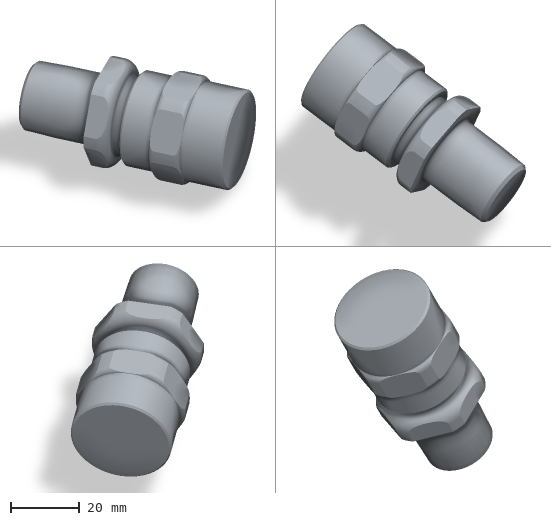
import cadquery as cq
import math


HEX_ACROSS_FLATS = 30.0
HEX_CORNER_RADIUS = 32.5 / 2

TIP_RADIUS = 20.75 / 2
TIP_CHAMFER = 1.05
TAPER_END_X = 9.8
SPIGOT_RADIUS = 21.3 / 2
SPIGOT_ROOT_FILLET = 0.6

FIXING_HEX_X = 22.5
FIXING_HEX_STRAIGHT = 3.5
FIXING_HEX_ROUNDING = 3.5
NECK_RADIUS = 23.3 / 2
NECK_FILLET = 1.0

HOUSING_X = 32.7
END_X = 64.8
COLLAR_RADIUS = 28.6 / 2
COLLAR_CHAMFER = 0.6
HOUSING_HEX_X = 42.2
HOUSING_HEX_LENGTH = 9.65
HOUSING_HEX_ROUNDING = 1.8
BARREL_RADIUS = 29.9 / 2
BARREL_CHAMFER = 0.6

FIXING_HEX_END_X = FIXING_HEX_X + FIXING_HEX_STRAIGHT + FIXING_HEX_ROUNDING
HOUSING_HEX_END_X = HOUSING_HEX_X + HOUSING_HEX_LENGTH


def turn(outline):
    """Closes an outline drawn in X and radius, and revolves it about the X axis."""
    return outline.close().revolve(360, (0, 0, 0), (1, 0, 0))


def cut_hex_flats(blank, start_x, length):
    """Trims a turned blank to the hexagon, leaving its corners turned."""
    circumscribed_diameter = HEX_ACROSS_FLATS / math.cos(math.pi / 6)
    prism = (
        cq.Workplane("YZ", origin=(start_x, 0, 0))
        .polygon(6, circumscribed_diameter)
        .extrude(length)
    )
    return blank.intersect(prism)


def make_fixing_hex():
    """Hexagon with a flat front face and a large rounding at its rear."""
    rounding_start_x = FIXING_HEX_X + FIXING_HEX_STRAIGHT
    blank = turn(
        cq.Workplane("XY")
        .moveTo(FIXING_HEX_X, 0)
        .lineTo(FIXING_HEX_X, HEX_CORNER_RADIUS)
        .lineTo(rounding_start_x, HEX_CORNER_RADIUS)
        .radiusArc((FIXING_HEX_END_X, HEX_CORNER_RADIUS - FIXING_HEX_ROUNDING), FIXING_HEX_ROUNDING)
        .lineTo(FIXING_HEX_END_X, 0)
    )
    return cut_hex_flats(blank, FIXING_HEX_X, FIXING_HEX_END_X - FIXING_HEX_X)


def make_housing_hex():
    """Hexagon rounded equally at both ends."""
    shoulder_radius = HEX_CORNER_RADIUS - HOUSING_HEX_ROUNDING
    blank = turn(
        cq.Workplane("XY")
        .moveTo(HOUSING_HEX_X, 0)
        .lineTo(HOUSING_HEX_X, shoulder_radius)
        .radiusArc((HOUSING_HEX_X + HOUSING_HEX_ROUNDING, HEX_CORNER_RADIUS), HOUSING_HEX_ROUNDING)
        .lineTo(HOUSING_HEX_END_X - HOUSING_HEX_ROUNDING, HEX_CORNER_RADIUS)
        .radiusArc((HOUSING_HEX_END_X, shoulder_radius), HOUSING_HEX_ROUNDING)
        .lineTo(HOUSING_HEX_END_X, 0)
    )
    return cut_hex_flats(blank, HOUSING_HEX_X, HOUSING_HEX_LENGTH)


def make_entry_body():
    """Tapered spigot, fixing hexagon and neck, ending against the housing."""
    spigot = turn(
        cq.Workplane("XY")
        .lineTo(0, TIP_RADIUS - TIP_CHAMFER)
        .lineTo(TIP_CHAMFER, TIP_RADIUS)
        .lineTo(TAPER_END_X, SPIGOT_RADIUS)
        .lineTo(FIXING_HEX_X - SPIGOT_ROOT_FILLET, SPIGOT_RADIUS)
        .radiusArc((FIXING_HEX_X, SPIGOT_RADIUS + SPIGOT_ROOT_FILLET), -SPIGOT_ROOT_FILLET)
        .lineTo(FIXING_HEX_X, 0)
    )
    neck = turn(
        cq.Workplane("XY")
        .moveTo(FIXING_HEX_END_X, 0)
        .lineTo(FIXING_HEX_END_X, NECK_RADIUS + NECK_FILLET)
        .radiusArc((FIXING_HEX_END_X + NECK_FILLET, NECK_RADIUS), -NECK_FILLET)
        .lineTo(HOUSING_X, NECK_RADIUS)
        .lineTo(HOUSING_X, 0)
    )
    return spigot.union(make_fixing_hex()).union(neck)


def make_housing():
    """Collar, hexagon and barrel, chamfered at both ends."""
    collar = turn(
        cq.Workplane("XY")
        .moveTo(HOUSING_X, 0)
        .lineTo(HOUSING_X, COLLAR_RADIUS - COLLAR_CHAMFER)
        .lineTo(HOUSING_X + COLLAR_CHAMFER, COLLAR_RADIUS)
        .lineTo(HOUSING_HEX_X, COLLAR_RADIUS)
        .lineTo(HOUSING_HEX_X, 0)
    )
    barrel = turn(
        cq.Workplane("XY")
        .moveTo(HOUSING_HEX_END_X, 0)
        .lineTo(HOUSING_HEX_END_X, BARREL_RADIUS)
        .lineTo(END_X - BARREL_CHAMFER, BARREL_RADIUS)
        .lineTo(END_X, BARREL_RADIUS - BARREL_CHAMFER)
        .lineTo(END_X, 0)
    )
    return collar.union(make_housing_hex()).union(barrel)


entry_body = make_entry_body()
housing = make_housing()

result = cq.Compound.makeCompound([entry_body.val(), housing.val()])